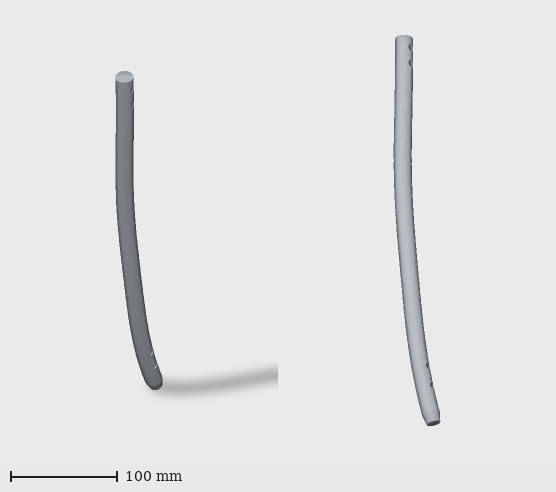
import cadquery as cq
import math

ROD_DIAMETER = 17.0
TIP_LENGTH = 10.0
TIP_DIAMETER = 13.0
HOLE_DIAMETER = 7.0
CUT_LENGTH = 6 * ROD_DIAMETER

CENTRE_LINE = [
    (-15.6, 7.5, 206.0),
    (-12.6, 2.2, 150.0),
    (-9.1, -4.8, 50.0),
    (-0.3, -7.6, -50.0),
    (9.5, -3.1, -150.0),
    (15.8, 4.7, -195.0),
]

OBLIQUE_HOLE_HEIGHTS = (187.7, 170.3)
OBLIQUE_HOLE_RISE = 40.0
LEVEL_HOLE_HEIGHTS = (-149.3, -169.3)
BISECTION_STEPS = 40


def make_rod(centre_line):
    """Sweep the round section along the centre line."""
    start = cq.Plane(origin=centre_line.startPoint(), normal=centre_line.tangentAt(0))
    path = cq.Workplane(obj=centre_line)
    return cq.Workplane(start).circle(ROD_DIAMETER / 2).sweep(path)


def make_tip(centre_line):
    """Conical tip that continues the centre line past its lower end."""
    tip = cq.Solid.makeCone(
        ROD_DIAMETER / 2,
        TIP_DIAMETER / 2,
        TIP_LENGTH,
        pnt=centre_line.endPoint(),
        dir=centre_line.tangentAt(1),
    )
    return cq.Workplane(obj=tip)


def point_at_height(centre_line, height):
    """Find the centre line point at a given Z by bisection; Z falls along the line."""
    upper, lower = 0.0, 1.0
    for _ in range(BISECTION_STEPS):
        middle = (upper + lower) / 2
        if centre_line.positionAt(middle).z > height:
            upper = middle
        else:
            lower = middle
    return centre_line.positionAt(middle)


def make_hole(centre_line, height, rise):
    """Cross hole in an XZ plane, climbing towards +X by the given angle."""
    angle = math.radians(rise)
    direction = cq.Vector(math.cos(angle), 0, math.sin(angle))
    start = point_at_height(centre_line, height) - direction * (CUT_LENGTH / 2)
    hole = cq.Solid.makeCylinder(HOLE_DIAMETER / 2, CUT_LENGTH, start, direction)
    return cq.Workplane(obj=hole)


spine = cq.Edge.makeSpline([cq.Vector(*point) for point in CENTRE_LINE])

result = make_rod(spine).union(make_tip(spine))

for hole_height in OBLIQUE_HOLE_HEIGHTS:
    result = result.cut(make_hole(spine, hole_height, OBLIQUE_HOLE_RISE))

for hole_height in LEVEL_HOLE_HEIGHTS:
    result = result.cut(make_hole(spine, hole_height, 0))